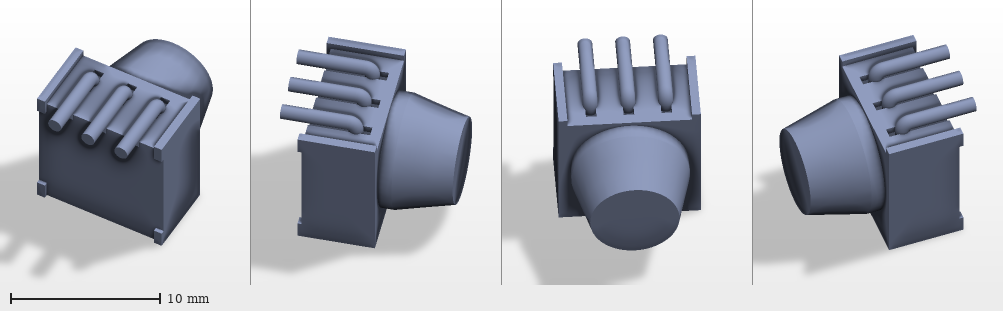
import cadquery as cq

HOUSING_SIZE = 9.55
BODY_DEPTH = 5.02
FOOT_DEPTH = 5.31
FOOT_WIDTH = 0.59
FOOT_HEIGHT = 1.21
RAIL_HEIGHT = 0.5
BODY_TOP = HOUSING_SIZE - RAIL_HEIGHT

KNOB_DIAMETER = 7.98
KNOB_TIP_DIAMETER = 6.0
COLLAR_LENGTH = 0.96
KNOB_LENGTH = 4.94

PIN_DIAMETER = 1.0
PIN_RADIUS = PIN_DIAMETER / 2
PIN_PITCH = 2.54
PIN_TOP = 10.07
PIN_END = 11.85 - KNOB_LENGTH
BEND_END = 2.3
BEND_RADIUS = 0.51
PIN_AXIS_Z = PIN_TOP - PIN_RADIUS
BEND_CENTRE_Z = PIN_AXIS_Z - BEND_RADIUS

SLOT_WIDTH = 0.71
SLOT_DEPTH = 0.5
SLOT_START = 0.75
SLOT_FLOOR = BODY_TOP - SLOT_DEPTH


def block(width, depth, height, x=0, rear=0, bottom=0):
    """Box centred on x, running forward (-Y) from the rear distance."""
    box = cq.Workplane("XY").box(width, depth, height, centered=(True, False, False))
    return box.translate((x, -rear - depth, bottom))


def make_housing():
    housing = block(HOUSING_SIZE, BODY_DEPTH, BODY_TOP)
    foot_x = (HOUSING_SIZE - FOOT_WIDTH) / 2
    foot_projection = FOOT_DEPTH - BODY_DEPTH
    for x in (-foot_x, foot_x):
        housing = housing.union(block(FOOT_WIDTH, BODY_DEPTH, RAIL_HEIGHT, x, 0, BODY_TOP))
        for bottom in (0, HOUSING_SIZE - FOOT_HEIGHT):
            foot = block(FOOT_WIDTH, foot_projection, FOOT_HEIGHT, x, BODY_DEPTH, bottom)
            housing = housing.union(foot)
    return housing


def make_knob():
    profile = [
        (0, 0),
        (KNOB_DIAMETER / 2, 0),
        (KNOB_DIAMETER / 2, COLLAR_LENGTH),
        (KNOB_TIP_DIAMETER / 2, KNOB_LENGTH),
        (0, KNOB_LENGTH),
    ]
    knob = cq.Workplane("XY").polyline(profile).close().revolve(360, (0, 0), (0, 1))
    return knob.translate((0, 0, HOUSING_SIZE / 2))


def make_pin(x):
    straight = (
        cq.Workplane("XZ", origin=(x, -BEND_END, PIN_AXIS_Z))
        .circle(PIN_RADIUS)
        .extrude(PIN_END - BEND_END)
    )
    bend = (
        cq.Workplane("XZ", origin=(x, -BEND_END, PIN_AXIS_Z))
        .circle(PIN_RADIUS)
        .revolve(90, (0.12, -BEND_RADIUS), (0, -BEND_RADIUS))
    )
    leg = (
        cq.Workplane("XY", origin=(x, BEND_RADIUS - BEND_END, SLOT_FLOOR))
        .circle(PIN_RADIUS)
        .extrude(BEND_CENTRE_Z - SLOT_FLOOR)
    )
    return leg.union(bend).union(straight)


result = make_housing().union(make_knob())
pin_positions = [-PIN_PITCH, 0, PIN_PITCH]
for pin_x in pin_positions:
    slot_length = BODY_DEPTH - SLOT_START
    result = result.cut(block(SLOT_WIDTH, slot_length, SLOT_DEPTH, pin_x, SLOT_START, SLOT_FLOOR))
for pin_x in pin_positions:
    result = result.union(make_pin(pin_x))